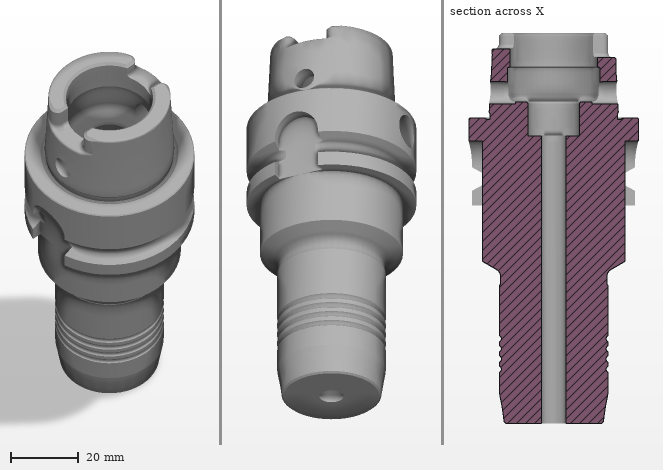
import cadquery as cq
import math


shank_top = 24.9
shank_top_radius = 18.0
shank_base_radius = 19.1
shank_base_z = 1.7
shank_rim_round = 0.7

relief_radius = 18.9
relief_shoulder_z = 1.3
relief_depth = 0.4
relief_floor_radius = 19.8
relief_outer_radius = 20.3

flange_radius = 25.0
flange_thickness = 25.9
flange_edge_chamfer = 0.3
groove_center_z = -18.1
groove_floor_width = 3.0
groove_floor_radius = 21.6
groove_flank_angle = 30.0
groove_corner_round = 0.7

body_radius = 21.05
body_bottom_z = -42.3
neck_radius = 15.7
neck_bottom_z = -49.2
neck_cone_angle = 30.0
neck_blend_radius = 2.5
nose_radius = 16.0
nose_cone_top_z = -81.4
nose_tip_radius = 14.6
nose_bottom_z = -90.0
nose_tip_chamfer = 0.5

ring_count = 4
ring_pitch = 3.0
first_ring_z = -65.0
ring_profile_radius = 1.0
ring_depth = 0.5

mouth_radius = 13.6
lip_radius = 12.8
mouth_depth = 0.7
lip_bottom_z = 15.1
undercut_radius = 13.6
undercut_shoulder_angle = 30.0
undercut_floor_round = 2.2
bore_floor_z = 4.7
socket_radius = 7.5
socket_chamfer = 0.5
socket_depth = 10.0
coolant_radius = 3.6

slot_half_width = 5.2
slot_wall_reach = 16.1
slot_corner_radius = 2.3
slot_tail_angle = 21.0
slot_floor_round = 1.2
slot_rim_width = 0.9
slot_rim_height = 0.75
slot_edge_round = 0.7
front_slot_depth = 7.1
back_slot_depth = 4.5

cross_hole_radius = 3.2
cross_hole_z = 7.35
chip_hole_radius = 5.0
chip_hole_z = -7.0
chip_hole_depth = 4.6

keyway_half_width = 7.0
keyway_top_z = -6.9
keyway_floor_reach = 21.05

pick_margin = 0.05


def make_blank():
    """Revolve the outside profile of the holder."""
    flank_rise = (flange_radius - groove_floor_radius) * math.tan(math.radians(groove_flank_angle))
    groove_top_z = groove_center_z + groove_floor_width / 2
    groove_bottom_z = groove_center_z - groove_floor_width / 2

    turn = math.radians(90 - neck_cone_angle)
    blend_center_radius = neck_radius + neck_blend_radius
    cone_end_radius = blend_center_radius - neck_blend_radius * math.cos(turn)
    cone_height = (body_radius - cone_end_radius) * math.tan(math.radians(neck_cone_angle))
    cone_end_z = body_bottom_z - cone_height
    neck_top_z = cone_end_z - neck_blend_radius * math.sin(turn)
    arc_middle = (
        blend_center_radius - neck_blend_radius * math.cos(turn / 2),
        neck_top_z + neck_blend_radius * math.sin(turn / 2),
    )

    profile = (
        cq.Workplane("XZ")
        .moveTo(0, shank_top)
        .lineTo(shank_top_radius, shank_top)
        .lineTo(shank_base_radius, shank_base_z)
        .lineTo(relief_radius, relief_shoulder_z)
        .lineTo(relief_radius, -relief_depth)
        .lineTo(relief_floor_radius, -relief_depth)
        .lineTo(relief_outer_radius, 0)
        .lineTo(flange_radius - flange_edge_chamfer, 0)
        .lineTo(flange_radius, -flange_edge_chamfer)
        .lineTo(flange_radius, groove_top_z + flank_rise)
        .lineTo(groove_floor_radius, groove_top_z)
        .lineTo(groove_floor_radius, groove_bottom_z)
        .lineTo(flange_radius, groove_bottom_z - flank_rise)
        .lineTo(flange_radius, -flange_thickness)
        .lineTo(body_radius, -flange_thickness)
        .lineTo(body_radius, body_bottom_z)
        .lineTo(cone_end_radius, cone_end_z)
        .threePointArc(arc_middle, (neck_radius, neck_top_z))
        .lineTo(neck_radius, neck_bottom_z)
        .lineTo(nose_radius, neck_bottom_z)
        .lineTo(nose_radius, nose_cone_top_z)
        .lineTo(nose_tip_radius, nose_bottom_z)
        .lineTo(0, nose_bottom_z)
        .close()
    )
    blank = profile.revolve(360, (0, 0, 0), (0, 1, 0))
    blank = blank.faces(">Z").edges().fillet(shank_rim_round)
    blank = blank.faces("<Z").edges().chamfer(nose_tip_chamfer)
    for corner_z in (groove_top_z, groove_bottom_z):
        corner = blank.edges(ring_selector(groove_floor_radius, corner_z))
        blank = corner.fillet(groove_corner_round)
    return blank


def ring_selector(radius, z):
    """Select edges that lie at the given height, within the given radius of Z."""
    outer = radius + pick_margin
    return cq.selectors.BoxSelector(
        (-outer, -outer, z - pick_margin), (outer, outer, z + pick_margin), boundingbox=True
    )


def cut_nose_rings(body):
    """Cut the shallow round grooves around the nose."""
    path_radius = nose_radius + ring_profile_radius - ring_depth
    for index in range(ring_count):
        ring_z = first_ring_z - index * ring_pitch
        ring = cq.Solid.makeTorus(path_radius, ring_profile_radius, cq.Vector(0, 0, ring_z))
        body = body.cut(cq.Workplane(ring))
    return body


def cut_bore(body):
    """Cut the stepped bore and the through hole for coolant."""
    socket_bottom_z = bore_floor_z - socket_depth
    shoulder_drop = (undercut_radius - lip_radius) * math.tan(math.radians(undercut_shoulder_angle))
    bore = (
        cq.Workplane("XZ")
        .moveTo(0, shank_top)
        .lineTo(mouth_radius, shank_top)
        .lineTo(lip_radius, shank_top - mouth_depth)
        .lineTo(lip_radius, lip_bottom_z)
        .lineTo(undercut_radius, lip_bottom_z - shoulder_drop)
        .lineTo(undercut_radius, bore_floor_z + undercut_floor_round)
        .radiusArc((undercut_radius - undercut_floor_round, bore_floor_z), undercut_floor_round)
        .lineTo(socket_radius + socket_chamfer, bore_floor_z)
        .lineTo(socket_radius, bore_floor_z - socket_chamfer)
        .lineTo(socket_radius, socket_bottom_z)
        .lineTo(coolant_radius, socket_bottom_z)
        .lineTo(coolant_radius, nose_bottom_z)
        .lineTo(0, nose_bottom_z)
        .close()
        .revolve(360, (0, 0, 0), (0, 1, 0))
    )
    return body.cut(bore)


def slot_outline(z, inset):
    """Plan of a drive slot on the -Y side, with the walls moved outward by inset.

    Each wall bends outward round a lip and leaves it on a straight tail that
    slopes back toward the X axis.
    """
    half_width = slot_half_width + inset
    corner_radius = slot_corner_radius - inset
    center_x = slot_half_width + slot_corner_radius
    center_y = slot_corner_radius - slot_wall_reach
    turn = math.radians(90 + slot_tail_angle)
    middle_x = center_x - corner_radius * math.cos(turn / 2)
    middle_y = center_y - corner_radius * math.sin(turn / 2)
    end_x = center_x - corner_radius * math.cos(turn)
    end_y = center_y - corner_radius * math.sin(turn)
    outer = flange_radius
    tail_y = end_y + (outer - end_x) * math.tan(math.radians(slot_tail_angle))
    return (
        cq.Workplane("XY", origin=(0, 0, z))
        .moveTo(-half_width, 0)
        .lineTo(-half_width, center_y)
        .threePointArc((-middle_x, middle_y), (-end_x, end_y))
        .lineTo(-outer, tail_y)
        .lineTo(-outer, -outer)
        .lineTo(outer, -outer)
        .lineTo(outer, tail_y)
        .lineTo(end_x, end_y)
        .threePointArc((middle_x, middle_y), (half_width, center_y))
        .lineTo(half_width, 0)
        .close()
    )


def make_slot_cutter(depth):
    """Slot volume with a rounded floor corner and a flared rim at the shank end."""
    floor_z = shank_top - depth
    cutter = slot_outline(floor_z, 0).extrude(depth)
    side_limit = flange_radius - pick_margin
    wall_feet = cutter.faces("<Z").edges(cq.selectors.BoxSelector(
        (-side_limit, -slot_wall_reach - pick_margin, floor_z - pick_margin),
        (side_limit, -pick_margin, floor_z + pick_margin),
    ))
    cutter = wall_feet.fillet(slot_floor_round)
    rim = cq.Solid.makeLoft(
        [
            slot_outline(shank_top - slot_rim_height, 0).val(),
            slot_outline(shank_top, slot_rim_width).val(),
        ],
        True,
    )
    return cutter.union(cq.Workplane(rim))


def break_slot_edge(body, side, floor_z):
    """Round the edge where the slot floor and walls meet the taper; side is the sign of Y."""
    near_y = side * slot_wall_reach
    far_y = side * flange_radius
    floor_edge = body.edges(cq.selectors.BoxSelector(
        (-slot_half_width - slot_corner_radius, near_y, floor_z - pick_margin),
        (slot_half_width + slot_corner_radius, far_y, floor_z + pick_margin),
    ))
    return floor_edge.fillet(slot_edge_round)


def cut_drive_slots(body):
    """Cut the two drive slots of unequal depth across the shank end."""
    body = body.cut(make_slot_cutter(front_slot_depth))
    body = body.cut(make_slot_cutter(back_slot_depth).rotate((0, 0, 0), (0, 0, 1), 180))
    for side, depth in ((-1, front_slot_depth), (1, back_slot_depth)):
        body = break_slot_edge(body, side, shank_top - depth)
    return body


def cut_cross_hole(body):
    """Drill both shank walls along Y, leaving the bore floor whole."""
    hole = (
        cq.Workplane("XZ", origin=(0, 0, cross_hole_z))
        .circle(cross_hole_radius)
        .extrude(flange_radius, both=True)
    )
    bore_core = cq.Workplane("XY").circle(undercut_radius - undercut_floor_round).extrude(shank_top)
    return body.cut(hole.cut(bore_core))


def cut_chip_hole(body):
    """Sink the flat-bottomed round pocket into the -X side of the flange."""
    hole = (
        cq.Workplane("YZ", origin=(-flange_radius, 0, chip_hole_z))
        .circle(chip_hole_radius)
        .extrude(chip_hole_depth)
    )
    return body.cut(hole)


def cut_keyways(body):
    """Cut the round-topped keyways into the -Y and +Y sides of the flange."""
    arc_z = keyway_top_z - keyway_half_width
    depth = flange_radius - keyway_floor_reach
    for outer_y in (-flange_radius, keyway_floor_reach):
        keyway = (
            cq.Workplane("XZ", origin=(0, outer_y, 0))
            .moveTo(-keyway_half_width, -flange_thickness)
            .lineTo(-keyway_half_width, arc_z)
            .threePointArc((0, keyway_top_z), (keyway_half_width, arc_z))
            .lineTo(keyway_half_width, -flange_thickness)
            .close()
            .extrude(-depth)
        )
        body = body.cut(keyway)
    return body


holder = make_blank()
holder = cut_nose_rings(holder)
holder = cut_bore(holder)
holder = cut_drive_slots(holder)
holder = cut_cross_hole(holder)
holder = cut_chip_hole(holder)
holder = cut_keyways(holder)
result = holder